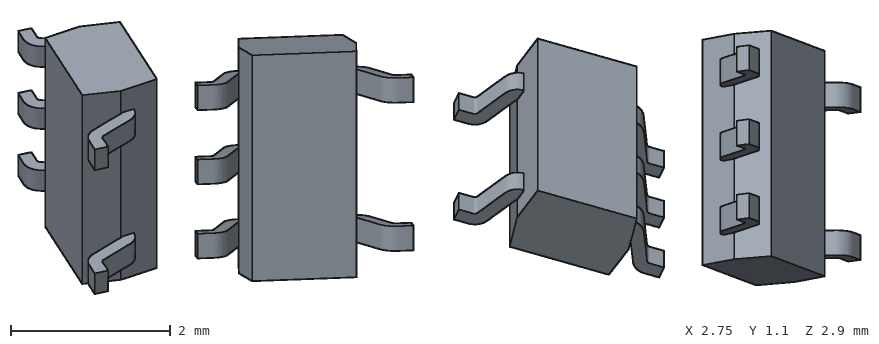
import cadquery as cq
import math

HOUSING_LENGTH = 2.9
HOUSING_DEPTH = 1.0
STANDOFF = 0.1
FACE_WIDTH = 1.328
PARTING_WIDTH = 1.495
PARTING_Y = 0.585

LEAD_SPAN = 2.75
LEAD_THICKNESS = 0.18
LEAD_WIDTH = 0.32
LEAD_PITCH = 0.95
LEAD_TOP_Y = 0.768
FOOT_LENGTH = 0.195
INNER_RADIUS = 0.05
OUTER_RADIUS = INNER_RADIUS + LEAD_THICKNESS
BEND_ANGLE = 64.5

LEFT, RIGHT = -1, 1
LEAD_ROWS = {LEFT: (-1, 0, 1), RIGHT: (-1, 1)}


def make_housing():
    """Prism along Z whose sides taper away from a wider parting plane."""
    back_y = STANDOFF + HOUSING_DEPTH
    half_face = FACE_WIDTH / 2
    half_parting = PARTING_WIDTH / 2
    outline = [
        (-half_face, STANDOFF),
        (half_face, STANDOFF),
        (half_parting, PARTING_Y),
        (half_face, back_y),
        (-half_face, back_y),
        (-half_parting, PARTING_Y),
    ]
    return (
        cq.Workplane("XY")
        .polyline(outline)
        .close()
        .extrude(HOUSING_LENGTH / 2, both=True)
    )


def bend_point(center, radius, angle):
    """Point on a bend, at an angle in degrees from +X."""
    turn = math.radians(angle)
    return center[0] + radius * math.cos(turn), center[1] + radius * math.sin(turn)


def make_left_lead(housing):
    """S-bent strip, centred on Z = 0, trimmed to end on the housing side."""
    slope = math.radians(BEND_ANGLE)
    bend_radii = INNER_RADIUS + OUTER_RADIUS
    rise = LEAD_TOP_Y - LEAD_THICKNESS
    leg_length = (rise - bend_radii * (1 - math.cos(slope))) / math.sin(slope)
    run = bend_radii * math.sin(slope) + leg_length * math.cos(slope)

    tip_x = -LEAD_SPAN / 2
    foot_bend = (tip_x + FOOT_LENGTH, OUTER_RADIUS)
    top_bend = (foot_bend[0] + run, LEAD_TOP_Y - OUTER_RADIUS)

    foot_start, foot_end = -90, -90 + BEND_ANGLE
    foot_middle = (foot_start + foot_end) / 2
    top_start, top_end = 90 + BEND_ANGLE, 90
    top_middle = (top_start + top_end) / 2

    strip = (
        cq.Workplane("XY")
        .moveTo(tip_x, 0)
        .lineTo(*bend_point(foot_bend, OUTER_RADIUS, foot_start))
        .threePointArc(
            bend_point(foot_bend, OUTER_RADIUS, foot_middle),
            bend_point(foot_bend, OUTER_RADIUS, foot_end),
        )
        .lineTo(*bend_point(top_bend, INNER_RADIUS, top_start))
        .threePointArc(
            bend_point(top_bend, INNER_RADIUS, top_middle),
            bend_point(top_bend, INNER_RADIUS, top_end),
        )
        .lineTo(*bend_point(top_bend, OUTER_RADIUS, top_end))
        .threePointArc(
            bend_point(top_bend, OUTER_RADIUS, top_middle),
            bend_point(top_bend, OUTER_RADIUS, top_start),
        )
        .lineTo(*bend_point(foot_bend, INNER_RADIUS, foot_end))
        .threePointArc(
            bend_point(foot_bend, INNER_RADIUS, foot_middle),
            bend_point(foot_bend, INNER_RADIUS, foot_start),
        )
        .lineTo(tip_x, LEAD_THICKNESS)
        .close()
        .extrude(LEAD_WIDTH / 2, both=True)
    )
    return cq.Workplane(strip.cut(housing).solids().val())


def make_leads(housing):
    """Three leads on the left side and two on the right."""
    left_lead = make_left_lead(housing)
    side_leads = {LEFT: left_lead, RIGHT: left_lead.mirror("YZ")}
    leads = []
    for side, positions in LEAD_ROWS.items():
        for position in positions:
            lead = side_leads[side].translate((0, 0, position * LEAD_PITCH))
            leads.append(lead.val())
    return leads


housing = make_housing()
leads = make_leads(housing)

result = cq.Compound.makeCompound([housing.val(), *leads])